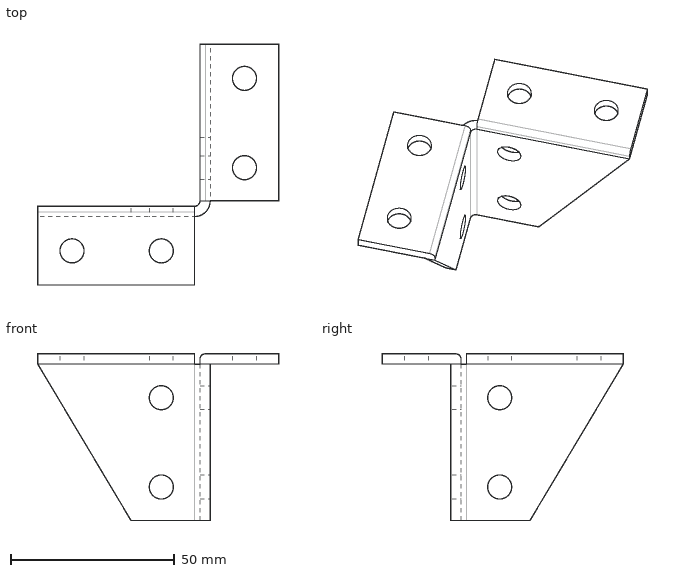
import cadquery as cq

sheet = 3.2
bend_inner_radius = sheet / 2
bend_outer_radius = bend_inner_radius + sheet

plate_width = 48.05
plate_height = 47.9
plate_bottom_width = 19.5

flange_depth = 24.18
flange_edge_radius = 1.7

hole_diameter = 7.3
hole_spacing = 27.35
flange_hole_margin = 10.5
wall_hole_margin = (plate_height - hole_spacing) / 2

swap_normal = cq.Vector(1, 1, 0)
arm_back_y = -bend_inner_radius
outer_hole_x = flange_hole_margin - plate_width
inner_hole_x = outer_hole_x + hole_spacing


def other_arm(shape):
    """Mirror a shape of the -X arm onto the +Y arm."""
    return shape.mirror(swap_normal, (0, 0, 0))


def make_wall():
    """Tapered wall plate of the -X arm, with two holes one above the other."""
    wall = (
        cq.Workplane("XZ", origin=(0, arm_back_y, 0))
        .moveTo(0, 0)
        .lineTo(-plate_width, 0)
        .lineTo(-plate_bottom_width, -plate_height)
        .lineTo(0, -plate_height)
        .close()
        .extrude(sheet)
    )
    hole_heights = [-wall_hole_margin, -wall_hole_margin - hole_spacing]
    holes = (
        cq.Workplane("XZ", origin=(0, arm_back_y, 0))
        .pushPoints([(inner_hole_x, z) for z in hole_heights])
        .circle(hole_diameter / 2)
        .extrude(sheet)
    )
    return wall.cut(holes)


def make_bend():
    """Quarter-round corner that joins the two wall plates."""
    ring = (
        cq.Workplane("XY")
        .circle(bend_outer_radius)
        .circle(bend_inner_radius)
        .extrude(-plate_height)
    )
    quadrant = (
        cq.Workplane("XY")
        .rect(bend_outer_radius, -bend_outer_radius, centered=False)
        .extrude(-plate_height)
    )
    return ring.intersect(quadrant)


def make_corner_plate():
    """Both wall plates and the bend between them, as one sheet."""
    wall = make_wall()
    return wall.union(make_bend()).union(other_arm(wall))


def make_flange():
    """Flange of the -X arm, with its upper back edge rounded and two holes."""
    flange = (
        cq.Workplane("XY", origin=(0, arm_back_y, 0))
        .rect(-plate_width, -flange_depth, centered=False)
        .extrude(sheet)
        .edges(">Y and >Z")
        .fillet(flange_edge_radius)
    )
    hole_y = arm_back_y - flange_depth + flange_hole_margin
    holes = (
        cq.Workplane("XY")
        .pushPoints([(x, hole_y) for x in (outer_hole_x, inner_hole_x)])
        .circle(hole_diameter / 2)
        .extrude(sheet)
    )
    return flange.cut(holes)


corner_plate = make_corner_plate()
flange = make_flange()
flanges = [flange, other_arm(flange)]

result = cq.Compound.makeCompound([corner_plate.val(), *[body.val() for body in flanges]])